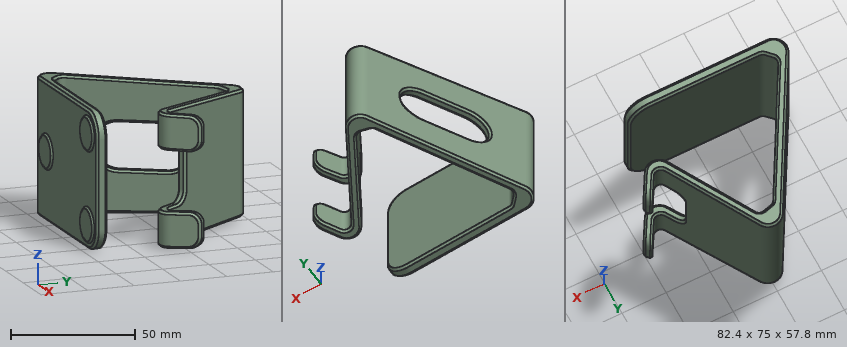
import cadquery as cq
import math

body_height = 74.2
width = 57.9
side_taper = 2.0
chamfer = 1.0

base_length = 71.0
base_thickness = 4.7
base_corner_radius = 10.0
arm_thickness = 4.0
back_arm_angle = 60.6
front_arm_angle = 120.8
lip_angle = 59.8
lip_thickness = 3.7
lip_tip = (82.9, 40.2)
lip_end_angle = 131.0
lip_corner_radius = 4.95
outer_bend_radius = 6.0
inner_bend_radius = 3.0

base_web_point = (10.55, base_thickness)
base_web_angle = 135.0
apex_web_point = (40.5, 66.15)
apex_web_angle = 15.0

window_width = 19.9
window_straight = 19.9
window_middle_y = 40.45

notch_width = 27.7
notch_end_y = 38.55
notch_corner_radius = 4.95
notch_reach = 20.6

foot_diameter = 15.0
foot_height = 0.8
rear_foot_x = 14.75
front_foot_x = 60.95
front_foot_z = width / 2 - base_corner_radius


def shifted(line, distance):
    """Parallel line moved to the left of its direction."""
    (x, y), angle = line
    a = math.radians(angle)
    return ((x - distance * math.sin(a), y + distance * math.cos(a)), angle)


def crossing(first, second):
    """Point where two lines meet."""
    (x1, y1), angle1 = first
    (x2, y2), angle2 = second
    a1 = math.radians(angle1)
    a2 = math.radians(angle2)
    reach = ((x2 - x1) * math.sin(a2) - (y2 - y1) * math.cos(a2)) / math.sin(a2 - a1)
    return (x1 + reach * math.cos(a1), y1 + reach * math.sin(a1))


def rounded_outline(corners):
    """Closed XY outline through (point, radius) corners; a zero radius stays sharp."""
    stretches = []
    for i, (corner, radius) in enumerate(corners):
        here = cq.Vector(*corner)
        back = (cq.Vector(*corners[i - 1][0]) - here).normalized()
        ahead = (cq.Vector(*corners[(i + 1) % len(corners)][0]) - here).normalized()
        half = back.getAngle(ahead) / 2
        tangent = radius / math.tan(half)
        crown = (back + ahead).normalized() * (radius / math.sin(half) - radius)
        stretches.append((here + back * tangent, here + crown, here + ahead * tangent, radius))
    outline = cq.Workplane("XY").moveTo(*stretches[0][2].toTuple()[:2])
    for start, middle, end, radius in stretches[1:] + stretches[:1]:
        outline = outline.lineTo(start.x, start.y)
        if radius:
            outline = outline.threePointArc((middle.x, middle.y), (end.x, end.y))
    return outline.close()


base_top = ((0, base_thickness), 0)
fold_reach = outer_bend_radius / math.tan(math.radians(back_arm_angle / 2))
base_fold = (outer_bend_radius - fold_reach, 0)
back_outer = (base_fold, back_arm_angle)
back_inner = shifted(back_outer, -arm_thickness)
apex_centre = crossing(
    shifted(back_outer, -outer_bend_radius), ((0, body_height - outer_bend_radius), 0)
)
front_outer = shifted((apex_centre, front_arm_angle), -outer_bend_radius)
front_inner = shifted(front_outer, arm_thickness)
notch_end_point = crossing(front_inner, ((0, notch_end_y), 0))
lip_outer = (lip_tip, lip_angle)
lip_inner = shifted(lip_outer, lip_thickness)
lip_inner_tip = crossing(lip_inner, (lip_tip, lip_end_angle))
base_web = (base_web_point, base_web_angle)
apex_web = (apex_web_point, apex_web_angle)


def tapered_slab(width_at_base):
    """Slab along X whose two Z sides lean together with increasing Y."""
    half = width_at_base / 2
    lean = math.tan(math.radians(side_taper)) * body_height
    return (
        cq.Workplane("YZ")
        .polyline([(0, -half), (body_height, lean - half), (body_height, half - lean), (0, half)])
        .close()
        .extrude(2 * base_length)
        .translate((-base_length / 2, 0, 0))
    )


def half_width(width_at_base, point):
    """Half the slab's Z extent at the height of an XY point."""
    return width_at_base / 2 - math.tan(math.radians(side_taper)) * point[1]


def round_both_sides(body, point, z, radius):
    """Fillet the edges nearest to an XY point at +z and -z."""
    for side in (z, -z):
        edge = cq.selectors.NearestToPointSelector((*point, side))
        body = body.edges(edge).fillet(radius)
    return body


def strip():
    """Folded strip with sharp edges, trimmed by the leaning sides."""
    corners = [
        (base_fold, outer_bend_radius),
        ((base_length, 0), 0),
        ((base_length, base_thickness), 0),
        (crossing(base_top, base_web), inner_bend_radius),
        (crossing(base_web, back_inner), inner_bend_radius),
        (crossing(back_inner, apex_web), inner_bend_radius),
        (crossing(apex_web, front_inner), inner_bend_radius),
        (crossing(front_inner, lip_outer), outer_bend_radius),
        (lip_tip, 0),
        (lip_inner_tip, 0),
        (crossing(lip_inner, front_outer), inner_bend_radius),
        (crossing(front_outer, back_outer), outer_bend_radius),
    ]
    prism = rounded_outline(corners).extrude(width / 2, both=True)
    return prism.intersect(tapered_slab(width))


def notch():
    """Cutting tool whose end wall is square to the front arm."""
    turn = math.radians(front_arm_angle)
    end_plane = cq.Plane(
        origin=(*notch_end_point, 0),
        xDir=(0, 0, 1),
        normal=(-math.cos(turn), -math.sin(turn), 0),
    )
    beyond = cq.Workplane(end_plane).rect(width, 2 * notch_reach).extrude(notch_reach)
    tool = tapered_slab(notch_width).intersect(beyond)
    z = half_width(notch_width, notch_end_point)
    return round_both_sides(tool, notch_end_point, z, notch_corner_radius)


def round_corners(body):
    """Round the free end of the base and both prongs of the lip."""
    base_end = (base_length, base_thickness / 2)
    lip_end_middle = (
        (lip_tip[0] + lip_inner_tip[0]) / 2,
        (lip_tip[1] + lip_inner_tip[1]) / 2,
    )
    body = round_both_sides(body, base_end, half_width(width, base_end), base_corner_radius)
    for spread in (width, notch_width):
        z = half_width(spread, lip_end_middle)
        body = round_both_sides(body, lip_end_middle, z, lip_corner_radius)
    return body


def break_skin_edges(body):
    """Each skin is bounded by one smooth loop, so one starting edge per skin chamfers it all."""
    for y in (0, base_thickness):
        start = cq.selectors.NearestToPointSelector((base_length, y, 0))
        body = body.edges(start).chamfer(chamfer)
    return body


def cut_window(body):
    """Cut the slot through the back arm and chamfer both of its rims."""
    middle = crossing(back_outer, ((0, window_middle_y), 0))
    turn = math.radians(back_arm_angle)
    outside = cq.Plane(
        origin=(*middle, 0),
        xDir=(math.cos(turn), math.sin(turn), 0),
        normal=(-math.sin(turn), math.cos(turn), 0),
    )
    length = window_straight + window_width
    body = body.cut(cq.Workplane(outside).slot2D(length, window_width).extrude(-2 * arm_thickness))
    for depth in (0, arm_thickness):
        rim_point = outside.toWorldCoords((0, window_width / 2, -depth))
        body = body.edges(cq.selectors.NearestToPointSelector(rim_point)).chamfer(chamfer)
    return body


def foot(x, z):
    """Disc under the base whose rim is a full-height 45 degree cone."""
    return (
        cq.Workplane("XZ", origin=(x, 0, z))
        .circle(foot_diameter / 2)
        .extrude(foot_height, taper=45)
    )


result = break_skin_edges(round_corners(strip().cut(notch())))
result = cut_window(result)
for x, z in [(rear_foot_x, 0), (front_foot_x, front_foot_z), (front_foot_x, -front_foot_z)]:
    result = result.union(foot(x, z))